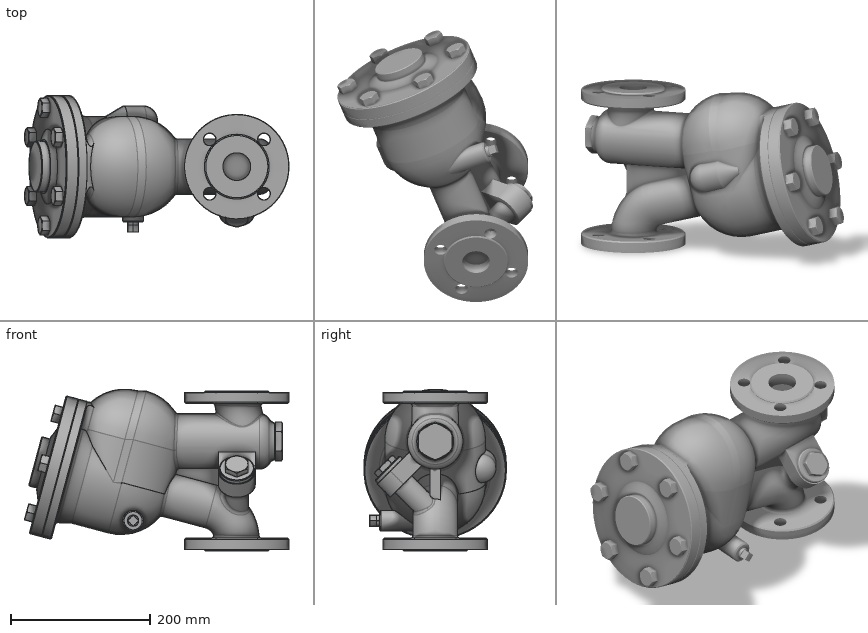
import cadquery as cq
import math


overlap = 3.8

flange_dia = 150.0
raised_dia = 93.0
raised_chamfer = 2.0
outlet_raise = 2.0
outlet_raise_chamfer = 1.5
outlet_plate_top = 18.2
inlet_face_z = 230.0
inlet_raise = 2.5
inlet_plate_bottom = 212.0
flange_rim_chamfer = 2.0
flange_fillet = 3.8
bore_dia = 40.0
bore_depth = 19.0
flange_hole_dia = 18.0
flange_hole_circle = 110.2
flange_hole_count = 4

tilt = math.radians(15)
cover_x = -271.7
cover_z = 124.0
cover_dia = 205.0
cover_thickness = 18.0
gasket_dia = 202.5
gasket_thickness = 1.0
body_flange_end = 32.5
rim_chamfer = 1.5
cone_base_dia = 108.0
cone_top_dia = 78.0
cone_height = 6.0
cap_dia = 73.0
cap_height = 18.5
cap_chamfer = 1.0

bolt_circle = 169.5
bolt_count = 6
bolt_flats = 24.0
bolt_height = 11.8
hex_chamfer_height = 1.0
hex_chamfer_width = 2.1

shell_radius = 72.2
skirt_radius = 76.8
skirt_fillet = 3.8
skirt_end = 55.0
dome_front = 97.5
dome_back = 109.5
dome_rise = 64.0
back_offset = 2.5
neck_fillet = 5.7
neck_dia = cover_dia - 0.5

bulge_radius = 21.0
bulge_tip_radius = 5.7
bulge_tip = 78.3
bulge_shoulder = 105.0
bulge_center = 133.5
bulge_y = 66.5
bulge_rise = 30.5

pipe_fillet = 4.5
upper_pipe_dia = 80.0
upper_pipe_z = 157.5
upper_pipe_start = -127.5
upper_pipe_end = 32.3
end_round_x = 46.0
end_round_dia = 66.0
end_hollow_x = 49.5
end_hollow_dia = 57.8
end_seat_x = 54.0
end_seat_dia = 53.2
end_plug_x = 55.5
end_plug_neck_dia = 50.0
end_plug_dia = 56.0
end_plug_width = 10.0

inlet_dia = 65.5
inlet_foot_dia = 69.0
inlet_foot_x = 12.0
inlet_fillet = 2.3

lower_pipe_dia = 64.2
elbow_radius = 49.5
elbow_end_z = 16.5

web_thickness = 15.2
web_left_x = -114.0
web_right_x = 7.5
web_left_z = 95.0
web_right_z = 53.2

strainer_lean = 45.0
strainer_root_z = 50.0
stem_dia = 34.2
stem_start = 11.5
stem_fillet = 5.7
strainer_boss_width = 53.2
strainer_boss_start = 64.5
strainer_boss_end = 91.2
strainer_cap_dia = 50.0
strainer_cap_end = 97.3
strainer_cap_chamfer = 1.0
strainer_hex_flats = 32.0
strainer_hex_height = 8.5

drain_x = -149.0
drain_z = 43.5
drain_start = 19.0
drain_boss_dia = 30.0
drain_boss_end = 80.0
drain_boss_chamfer = 2.0
drain_neck_dia = 16.0
drain_neck_end = 84.0
drain_square_side = 11.5
drain_square_end = 94.3


def cylinder_x(dia, start, end):
    return cq.Workplane("YZ", origin=(start, 0, 0)).circle(dia / 2).extrude(end - start)


def cylinder_z(dia, start, end):
    return cq.Workplane("XY", origin=(0, 0, start)).circle(dia / 2).extrude(end - start)


def turned(profile):
    """Revolve a closed XY profile about the X axis."""
    return profile.close().revolve(360, (0, 0, 0), (1, 0, 0))


def hexagon(plane, flats, height):
    """Hexagonal head with its outer corners turned down."""
    across_corners = flats / math.cos(math.pi / 6)
    prism = cq.Workplane(plane).polygon(6, across_corners).extrude(height)
    trim = cq.Workplane(plane).circle(across_corners / 2).extrude(height)
    outer_face = trim.faces(cq.selectors.DirectionMinMaxSelector(plane.zDir))
    return prism.intersect(outer_face.chamfer(hex_chamfer_height, hex_chamfer_width))


def place(shape):
    """Move a piece from the tilted body frame to its final position."""
    return shape.rotate((0, 0, 0), (0, 1, 0), math.degrees(tilt)).translate((cover_x, 0, cover_z))


def blended(body, branch, radius):
    """Join a branch to a body and round the inside corner where they meet."""
    joined = body.union(branch)
    touching = 0.005
    seam = []
    for edge in joined.edges().vals():
        middle = cq.Vertex.makeVertex(*edge.positionAt(0.5).toTuple())
        if middle.distance(body.val()) < touching and middle.distance(branch.val()) < touching:
            seam.append(edge)
    return joined.newObject(seam).fillet(radius)


def make_cover():
    cover = cylinder_x(cover_dia, 0, cover_thickness).faces("<X").chamfer(rim_chamfer)
    gasket = cylinder_x(gasket_dia, 0, body_flange_end - overlap)
    cone = turned(
        cq.Workplane("XY")
        .moveTo(overlap, 0)
        .lineTo(overlap, cone_base_dia / 2)
        .lineTo(0, cone_base_dia / 2)
        .lineTo(-cone_height, cone_top_dia / 2)
        .lineTo(-cone_height, 0)
    )
    cap = cylinder_x(cap_dia, -cap_height, 0).faces("<X").chamfer(cap_chamfer)
    cover = cover.union(gasket).union(cone).union(cap)
    for i in range(bolt_count):
        angle = 2 * math.pi * i / bolt_count
        center = (0, bolt_circle / 2 * math.cos(angle), bolt_circle / 2 * math.sin(angle))
        cover = cover.union(hexagon(cq.Plane(center, (0, 1, 0), (-1, 0, 0)), bolt_flats, bolt_height))
    return cover


def make_barrel():
    """Lower body: a flared cylinder behind the flange, closed by a half ball."""
    return turned(
        cq.Workplane("XY")
        .moveTo(body_flange_end - overlap, 0)
        .lineTo(body_flange_end - overlap, skirt_radius + skirt_fillet)
        .lineTo(body_flange_end, skirt_radius + skirt_fillet)
        .radiusArc((body_flange_end + skirt_fillet, skirt_radius), -skirt_fillet)
        .lineTo(skirt_end, shell_radius)
        .lineTo(dome_back, shell_radius)
        .radiusArc((dome_back + shell_radius, 0), shell_radius)
    )


def half_dome():
    """Half of an upright cylinder on the -X side, with a quarter ball on top."""
    return (
        cq.Workplane("YZ")
        .moveTo(0, dome_rise + shell_radius)
        .radiusArc((shell_radius, dome_rise), shell_radius)
        .lineTo(shell_radius, 0)
        .lineTo(0, 0)
        .close()
        .revolve(180, (0, 0, 0), (0, 1, 0))
    )


def sheared_middle():
    """Slot-shaped band joining the two half domes; it climbs by back_offset on the way."""
    outline = (
        cq.Workplane("YZ", origin=(dome_front, 0, dome_rise / 2))
        .slot2D(dome_rise + 2 * shell_radius, 2 * shell_radius, 90)
        .wires()
        .val()
    )
    climb = cq.Vector(dome_back - dome_front, 0, back_offset)
    return cq.Workplane(cq.Solid.extrudeLinear(outline, [], climb))


def make_neck():
    """Concave ring between the body flange and the ball of the dome, kept inside the rim."""
    center_x = body_flange_end + neck_fillet
    center_r = math.sqrt((shell_radius + neck_fillet) ** 2 - (dome_front - center_x) ** 2)
    ball_share = shell_radius / (shell_radius + neck_fillet)
    ball_x = dome_front - (dome_front - center_x) * ball_share
    ball_r = center_r * ball_share
    middle_angle = (math.atan2(-center_r, dome_front - center_x) - math.pi) / 2
    arc_middle = (center_x + neck_fillet * math.cos(middle_angle),
                  center_r + neck_fillet * math.sin(middle_angle))
    ring = turned(
        cq.Workplane("XY")
        .moveTo(body_flange_end - overlap, 0)
        .lineTo(body_flange_end - overlap, center_r)
        .lineTo(body_flange_end, center_r)
        .threePointArc(arc_middle, (ball_x, ball_r))
        .lineTo(ball_x + overlap, ball_r - overlap)
        .lineTo(ball_x + overlap, 0)
    )
    return ring.translate((0, 0, dome_rise)).intersect(cylinder_x(neck_dia, 0, dome_front))


def make_bulge():
    """Round-ended swelling on the +Y flank with a tapered front."""
    bulge = turned(
        cq.Workplane("XY")
        .moveTo(bulge_tip, 0)
        .lineTo(bulge_tip, bulge_tip_radius)
        .lineTo(bulge_shoulder, bulge_radius)
        .lineTo(bulge_center, bulge_radius)
        .radiusArc((bulge_center + bulge_radius, 0), bulge_radius)
    )
    return bulge.translate((0, bulge_y, bulge_rise))


def make_upper_body():
    flange = cylinder_x(cover_dia, cover_thickness + gasket_thickness, body_flange_end)
    flange = flange.faces(">X").chamfer(rim_chamfer)
    front = half_dome().translate((dome_front, 0, 0))
    back = half_dome().mirror("YZ").translate((dome_back, 0, back_offset))
    dome = front.union(sheared_middle()).union(back)
    return flange.union(dome).union(make_neck()).union(make_bulge())


def make_upper_pipe():
    pipe = turned(
        cq.Workplane("XY")
        .moveTo(upper_pipe_start, 0)
        .lineTo(upper_pipe_start, upper_pipe_dia / 2)
        .lineTo(upper_pipe_end, upper_pipe_dia / 2)
        .tangentArcPoint((end_round_x, end_round_dia / 2), relative=False)
        .threePointArc((end_hollow_x, end_hollow_dia / 2), (end_seat_x, end_seat_dia / 2))
        .lineTo(end_seat_x, 0)
    )
    plug_neck = cylinder_x(end_plug_neck_dia, upper_pipe_end, end_plug_x)
    plug_plane = cq.Plane((end_plug_x, 0, 0), (0, 0, 1), (1, 0, 0))
    plug = hexagon(plug_plane, end_plug_dia * math.cos(math.pi / 6), end_plug_width)
    return pipe.union(plug_neck).union(plug).translate((0, 0, upper_pipe_z))


def make_lower_pipe():
    """Straight run along the tilted axis and the elbow that turns it down onto the Z axis."""
    def elbow_point(angle):
        return (elbow_radius * (math.cos(angle) - 1), elbow_end_z + elbow_radius * math.sin(angle))

    sweep_angle = math.pi / 2 - tilt
    start_x, start_z = elbow_point(sweep_angle)
    path = (
        cq.Workplane("XZ")
        .moveTo(0, elbow_end_z)
        .threePointArc(elbow_point(sweep_angle / 2), (start_x, start_z))
    )
    elbow = cq.Workplane("XY", origin=(0, 0, elbow_end_z)).circle(lower_pipe_dia / 2).sweep(path)
    body_center_x = cover_x + dome_back * math.cos(tilt)
    run = (start_x - body_center_x) / math.cos(tilt)
    straight = cylinder_x(lower_pipe_dia, -run, 0)
    straight = straight.rotate((0, 0, 0), (0, 1, 0), math.degrees(tilt)).translate((start_x, 0, start_z))
    return elbow.union(straight)


def make_inlet():
    """Leaning neck from the upper pipe to the inlet flange."""
    height = inlet_plate_bottom + overlap - upper_pipe_z
    return (
        cq.Workplane("XY", origin=(inlet_foot_x, 0, upper_pipe_z))
        .circle(inlet_foot_dia / 2)
        .workplane(offset=height)
        .center(-inlet_foot_x, 0)
        .circle(inlet_dia / 2)
        .loft()
    )


def make_web():
    """Flat rib filling the gap between the upper pipe and the lower pipe."""
    return (
        cq.Workplane("XZ")
        .moveTo(web_left_x, upper_pipe_z)
        .lineTo(web_left_x, web_left_z)
        .lineTo(web_right_x, web_right_z)
        .lineTo(web_right_x, upper_pipe_z)
        .close()
        .extrude(web_thickness / 2, both=True)
    )


def lean(shape):
    """Tip an upright strainer piece toward -Y."""
    return shape.rotate((0, 0, 0), (1, 0, 0), strainer_lean).translate((0, 0, strainer_root_z))


def make_stem():
    return lean(cylinder_z(stem_dia, stem_start, strainer_boss_start + overlap))


def make_strainer():
    width = strainer_boss_width
    boss = cylinder_z(width, strainer_boss_start, strainer_boss_end)
    square = (
        cq.Workplane("XY", origin=(0, width / 2, strainer_boss_start))
        .rect(width, width)
        .extrude(strainer_boss_end - strainer_boss_start)
    )
    cap = cylinder_z(strainer_cap_dia, strainer_boss_end, strainer_cap_end)
    cap = cap.faces(">Z").chamfer(strainer_cap_chamfer)
    head_plane = cq.Plane((0, 0, strainer_cap_end), (0, 1, 0), (0, 0, 1))
    head = hexagon(head_plane, strainer_hex_flats, strainer_hex_height)
    return lean(boss.union(square).union(cap).union(head))


def make_drain():
    base = cq.Workplane("XZ", origin=(drain_x, -drain_start, drain_z))
    boss = base.circle(drain_boss_dia / 2).extrude(drain_boss_end - drain_start)
    boss = boss.faces("<Y").chamfer(drain_boss_chamfer)
    neck = base.circle(drain_neck_dia / 2).extrude(drain_neck_end - drain_start)
    square = base.polygon(4, drain_square_side * math.sqrt(2)).extrude(drain_square_end - drain_start)
    return boss.union(neck).union(square)


def make_flanges():
    outlet_face = cylinder_z(raised_dia, 0, outlet_plate_top - overlap)
    outlet = cylinder_z(flange_dia, outlet_raise, outlet_plate_top).faces(">Z").chamfer(flange_rim_chamfer)
    outlet = outlet.union(outlet_face.faces("<Z").chamfer(outlet_raise_chamfer))
    inlet_face = cylinder_z(raised_dia, inlet_plate_bottom + overlap, inlet_face_z)
    inlet = cylinder_z(flange_dia, inlet_plate_bottom, inlet_face_z - inlet_raise)
    inlet = inlet.faces("<Z").chamfer(flange_rim_chamfer)
    inlet = inlet.union(inlet_face.faces(">Z").chamfer(raised_chamfer))
    return outlet.union(inlet)


def flange_holes(start, end):
    first_angle = 180 / flange_hole_count
    return (
        cq.Workplane("XY", origin=(0, 0, start))
        .polarArray(flange_hole_circle / 2, first_angle, 360, flange_hole_count)
        .circle(flange_hole_dia / 2)
        .extrude(end - start)
    )


result = blended(place(make_barrel()), make_lower_pipe(), pipe_fillet)
result = blended(result, make_stem(), stem_fillet)
result = result.union(place(make_upper_body())).union(place(make_cover()))
result = blended(result, make_upper_pipe(), pipe_fillet)
result = result.union(make_drain())
result = blended(result, make_inlet(), inlet_fillet)
result = result.union(make_strainer()).union(make_web())
result = blended(result, make_flanges(), flange_fillet)

result = result.cut(flange_holes(0, outlet_plate_top))
result = result.cut(flange_holes(inlet_plate_bottom, inlet_face_z))
result = result.cut(cylinder_z(bore_dia, 0, bore_depth))
result = result.cut(cylinder_z(bore_dia, inlet_face_z - bore_depth, inlet_face_z))